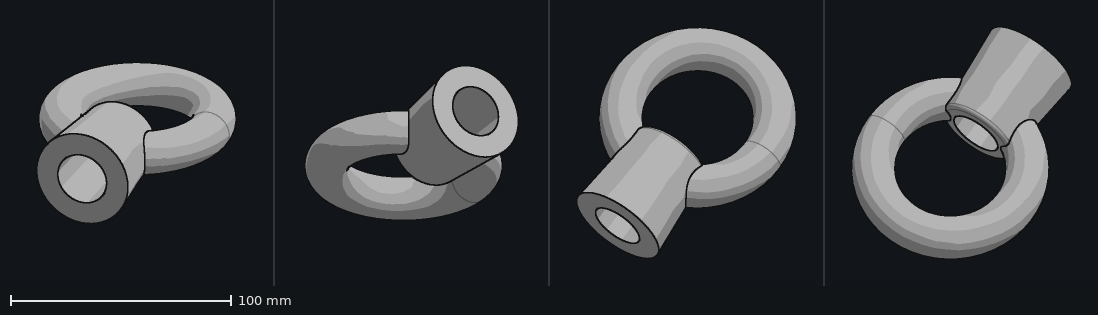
import cadquery as cq
import math

total_length = 111.0
ring_outer_diameter = 90.0
rod_diameter = 20.0
ring_outer_radius = ring_outer_diameter / 2
ring_path_radius = ring_outer_radius - rod_diameter / 2

socket_base_diameter = 45.0
socket_length = 45.0
socket_taper_degrees = 5.0
socket_rim_fillet = 2.0
bore_diameter = 24.0
socket_base_y = ring_outer_radius - total_length
socket_base_radius = socket_base_diameter / 2
socket_tip_radius = socket_base_radius - socket_length * math.tan(math.radians(socket_taper_degrees))


def make_ring():
    """Round rod swept a full turn about the Z axis."""
    return (
        cq.Workplane("XZ")
        .center(ring_path_radius, 0)
        .circle(rod_diameter / 2)
        .revolve(360, (-ring_path_radius, 0), (-ring_path_radius, 1))
    )


def make_socket():
    """Solid cone frustum with a rounded rim at its narrow end."""
    socket_tip_y = socket_base_y + socket_length
    frustum = (
        cq.Workplane("XY")
        .moveTo(0, socket_base_y)
        .lineTo(socket_base_radius, socket_base_y)
        .lineTo(socket_tip_radius, socket_tip_y)
        .lineTo(0, socket_tip_y)
        .close()
        .revolve(360, (0, 0), (0, 1))
    )
    return frustum.faces(">Y").edges().fillet(socket_rim_fillet)


def make_bore():
    """Cylinder through the socket and the part of the ring inside it."""
    return (
        cq.Workplane("XZ", origin=(0, socket_base_y, 0))
        .circle(bore_diameter / 2)
        .extrude(-socket_length)
    )


result = make_ring().union(make_socket()).cut(make_bore())